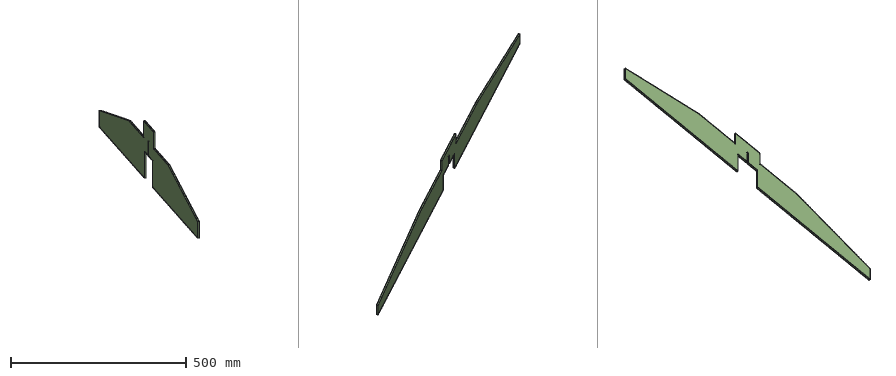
import cadquery as cq

span = 1000.0
thickness = 5.0
tip_height = 50.0
shoulder_height = 120.0
shoulder_half = 200.0

tab_width = 100.0
total_height = 170.0
notch_width = 80.0
notch_height = 80.0
slot_width = thickness
slot_top = (notch_height + total_height) / 2


def upright_plate(outline):
    """Extrude an XZ outline by the plate thickness, centred on Y = 0."""
    return outline.extrude(thickness / 2, both=True)


def wing_plate():
    """Tapered plate, symmetric about X = 0, standing on Z = 0."""
    half_span = span / 2
    outline = (
        cq.Workplane("XZ")
        .moveTo(-half_span, 0)
        .lineTo(half_span, 0)
        .lineTo(half_span, tip_height)
        .lineTo(shoulder_half, shoulder_height)
        .lineTo(-shoulder_half, shoulder_height)
        .lineTo(-half_span, tip_height)
        .close()
    )
    return upright_plate(outline)


def centred_block(width, bottom, top):
    """Plate-thick rectangle centred on X = 0 between two heights."""
    outline = (
        cq.Workplane("XZ")
        .center(0, (bottom + top) / 2)
        .rect(width, top - bottom)
    )
    return upright_plate(outline)


tab = centred_block(tab_width, notch_height, total_height)
notch = centred_block(notch_width, 0, notch_height)
slot = centred_block(slot_width, notch_height, slot_top)

result = wing_plate().union(tab).cut(notch).cut(slot)